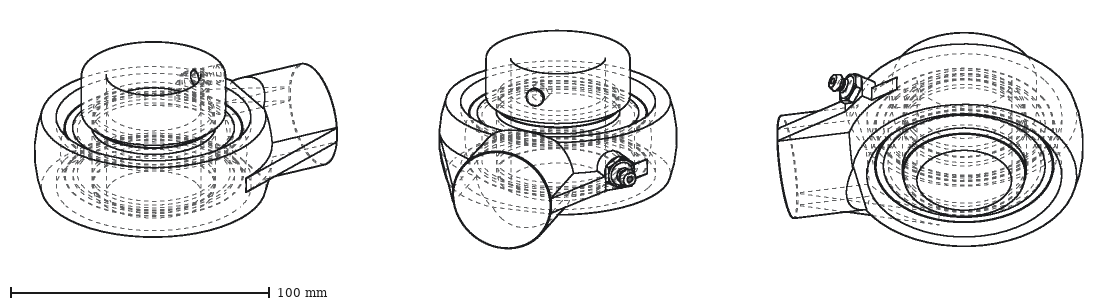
import cadquery as cq
import math


total_length = 115.7
edge_radius = 1.0

housing_radius = 45.9
housing_half_height = 15.0
recess_radius = 75.2 / 2
recess_floor_z = 10.4
shank_radius = 20.0
shank_end_y = total_length - housing_radius
shank_chamfer = 0.3
relief_start_y = 41.0
web_half_thickness = 3.0

grease_angle = 135.0
grease_axis_z = 4.0
grease_boss_radius = 6.0
grease_boss_end = 51.6
hex_across_flats = 11.0
hex_length = 2.5
hex_corner_chamfer = 0.5
nipple_shoulder_length = 0.3
nipple_cone_radius = 4.6
nipple_cone_length = 1.5
nipple_collar_radius = 2.9
nipple_taper_length = 0.9
nipple_neck_radius = 2.4
nipple_neck_length = 0.8
nipple_head_radius = 6.8 / 2
nipple_flare_length = 1.4
nipple_tip_radius = 2.7
nipple_tip_length = 2.1
nipple_ball_radius = 2.5 / 2
nipple_ball_height = 0.7

seat_radius = 36.0
outer_ring_edge = 0.3
outer_ring_bore_radius = 59.0 / 2
seal_outer_radius = 62.5 / 2
seal_thickness = 1.2
seal_rise = 0.5
inner_ring_land_radius = 47.8 / 2
inner_ring_land_z = 13.5
inner_ring_end_radius = 46.7 / 2
inner_ring_edge = 2.0
inner_ring_bottom_z = -17.5
inner_ring_top_z = 18.4
bore_radius = 36.5 / 2

collar_radius = 55.6 / 2
collar_bottom_z = 16.4
collar_top_z = 33.9
screw_radius = 6.8 / 2
screw_z = 27.3
screw_outer_y = 28.9
screw_inner_y = 23.1


def cylinder(radius, bottom_z, top_z):
    """A cylinder on the bearing axis."""
    return cq.Workplane("XY").workplane(offset=bottom_z).circle(radius).extrude(top_z - bottom_z)


def y_cylinder(radius, start_y, end_y, z=0.0):
    """A cylinder along +Y, centred on X = 0."""
    return cq.Workplane("XZ", origin=(0, start_y, z)).circle(radius).extrude(start_y - end_y)


def cut_both_sides(body, cutter):
    """Cut the same shape from the upper and the lower side."""
    return body.cut(cutter).cut(cutter.mirror("XY"))


def grease_plane(distance):
    """A plane facing outwards along the grease axis; its local X is horizontal and local Y is +Z."""
    angle = math.radians(grease_angle)
    outward = (math.cos(angle), math.sin(angle), 0)
    sideways = (-math.sin(angle), math.cos(angle), 0)
    origin = (distance * outward[0], distance * outward[1], grease_axis_z)
    return cq.Plane(origin=origin, xDir=sideways, normal=outward)


def make_shank():
    shank = y_cylinder(shank_radius, 0, shank_end_y).faces(">Y").chamfer(shank_chamfer)
    rise = shank_radius - housing_half_height
    relief = (
        cq.Workplane("YZ", origin=(-shank_radius, 0, 0))
        .moveTo(0, housing_half_height)
        .lineTo(relief_start_y, housing_half_height)
        .lineTo(relief_start_y + rise, shank_radius)
        .lineTo(0, shank_radius)
        .close()
        .extrude(2 * shank_radius)
    )
    return cut_both_sides(shank, relief)


def make_web():
    """Flat web whose sides run from the end of the shank tangent to the housing."""
    corner_y = shank_end_y - shank_chamfer
    corner_distance = math.hypot(shank_radius, corner_y)
    tangent_angle = math.atan2(corner_y, shank_radius) - math.acos(housing_radius / corner_distance)
    tangent_x = housing_radius * math.cos(tangent_angle)
    tangent_y = housing_radius * math.sin(tangent_angle)
    return (
        cq.Workplane("XY", origin=(0, 0, -web_half_thickness))
        .polyline([
            (0, 0),
            (tangent_x, tangent_y),
            (shank_radius, corner_y),
            (-shank_radius, corner_y),
            (-tangent_x, tangent_y),
        ])
        .close()
        .extrude(2 * web_half_thickness)
    )


def make_grease_boss():
    """Boss with a round top and straight sides down to the underside of the web."""
    foot = -web_half_thickness - grease_axis_z
    return (
        cq.Workplane(grease_plane(0))
        .moveTo(-grease_boss_radius, foot)
        .lineTo(-grease_boss_radius, 0)
        .threePointArc((0, grease_boss_radius), (grease_boss_radius, 0))
        .lineTo(grease_boss_radius, foot)
        .close()
        .extrude(grease_boss_end)
    )


def make_housing():
    slab = cylinder(housing_radius, -housing_half_height, housing_half_height)
    body = cq.Workplane("XY").sphere(housing_radius).intersect(slab)
    body = body.union(make_shank()).union(make_web()).union(make_grease_boss())
    recess = cylinder(recess_radius, recess_floor_z, shank_radius).faces("<Z").edges().fillet(edge_radius)
    body = cut_both_sides(body, recess)
    seat = cq.Workplane("XY").sphere(seat_radius)
    return body.cut(seat.intersect(cylinder(seat_radius, -recess_floor_z, recess_floor_z)))


def make_nipple():
    boss_face = grease_plane(grease_boss_end)
    corner_diameter = hex_across_flats / math.cos(math.pi / 6)
    hexagon = (
        cq.Workplane(boss_face)
        .transformed(rotate=(0, 0, 90))
        .polygon(6, corner_diameter)
        .extrude(hex_length)
    )
    corner_trim = (
        cq.Workplane(boss_face)
        .circle(corner_diameter / 2)
        .extrude(hex_length)
        .faces(cq.selectors.DirectionMinMaxSelector(boss_face.zDir))
        .chamfer(hex_corner_chamfer)
    )
    hexagon = hexagon.intersect(corner_trim)

    cone_start = hex_length + nipple_shoulder_length
    cone_end = cone_start + nipple_cone_length
    neck_start = cone_end + nipple_taper_length
    neck_end = neck_start + nipple_neck_length
    head_widest = neck_end + nipple_flare_length
    tip = head_widest + nipple_tip_length
    shoulder_radius = hex_across_flats / 2
    turned = (
        cq.Workplane("XZ")
        .polyline([
            (0, 0),
            (shoulder_radius, 0),
            (shoulder_radius, hex_length),
            (nipple_cone_radius, cone_start),
            (nipple_collar_radius, cone_end),
            (nipple_neck_radius, neck_start),
            (nipple_neck_radius, neck_end),
            (nipple_head_radius, head_widest),
            (nipple_tip_radius, tip),
            (0, tip),
        ])
        .close()
        .revolve(360, (0, 0, 0), (0, 1, 0))
    )
    ball_centre = tip + nipple_ball_height - nipple_ball_radius
    ball = cq.Workplane("XY", origin=(0, 0, ball_centre)).sphere(nipple_ball_radius)
    turned = turned.union(ball)
    return hexagon.union(turned.val().moved(cq.Location(boss_face)))


def make_outer_ring():
    ring = cq.Workplane("XY").sphere(seat_radius)
    ring = ring.intersect(cylinder(seat_radius, -recess_floor_z, recess_floor_z))
    ring = ring.faces("<Z or >Z").edges().chamfer(outer_ring_edge)
    ring = ring.cut(cylinder(outer_ring_bore_radius, -recess_floor_z, recess_floor_z))
    seal_seat = cylinder(seal_outer_radius, recess_floor_z - seal_thickness, recess_floor_z)
    return cut_both_sides(ring, seal_seat)


def make_upper_seal():
    return (
        cq.Workplane("XZ")
        .moveTo(inner_ring_land_radius, recess_floor_z - seal_thickness)
        .lineTo(seal_outer_radius, recess_floor_z - seal_thickness)
        .lineTo(seal_outer_radius, recess_floor_z)
        .lineTo(inner_ring_land_radius, recess_floor_z + seal_rise)
        .close()
        .revolve(360, (0, 0, 0), (0, 1, 0))
    )


def make_inner_ring():
    ring = cylinder(inner_ring_end_radius, inner_ring_bottom_z, inner_ring_top_z)
    ring = ring.faces("<Z").edges().fillet(inner_ring_edge)
    ring = ring.union(cylinder(inner_ring_land_radius, -inner_ring_land_z, inner_ring_land_z))
    return ring.cut(cylinder(bore_radius, inner_ring_bottom_z, inner_ring_top_z))


def make_collar():
    collar = cylinder(collar_radius, collar_bottom_z, collar_top_z)
    collar = collar.faces("<Z").edges().fillet(edge_radius)
    collar = collar.cut(cylinder(bore_radius, collar_bottom_z, collar_top_z))
    collar = collar.faces(">Z").edges().fillet(edge_radius)
    collar = collar.cut(cylinder(inner_ring_end_radius, collar_bottom_z, inner_ring_top_z))
    return collar.cut(y_cylinder(screw_radius, 0, collar_radius, screw_z))


def make_set_screw():
    return y_cylinder(screw_radius, screw_inner_y, screw_outer_y, screw_z)


housing = make_housing()
nipple = make_nipple()
outer_ring = make_outer_ring()
upper_seal = make_upper_seal()
lower_seal = upper_seal.mirror("XY")
inner_ring = make_inner_ring()
collar = make_collar()
set_screw = make_set_screw()

result = cq.Compound.makeCompound([
    housing.val(),
    nipple.val(),
    outer_ring.val(),
    upper_seal.val(),
    lower_seal.val(),
    inner_ring.val(),
    collar.val(),
    set_screw.val(),
])